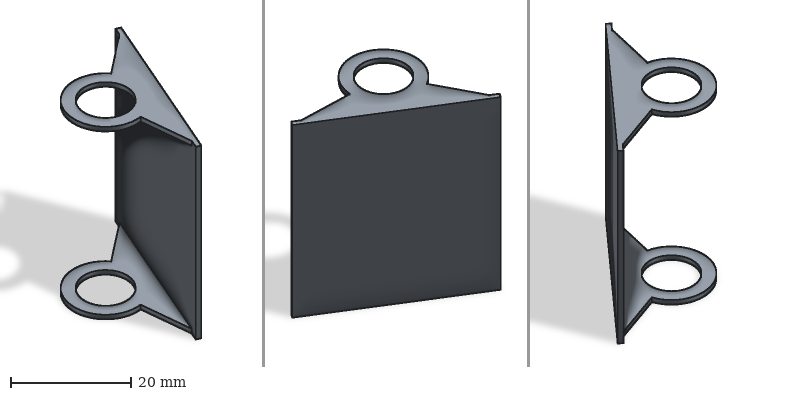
import cadquery as cq
import math

width = 35.6
height = 40.0
thickness = 1.0
hole_diameter = 10.0
ring_diameter = 15.0
ring_offset = 10.0
gusset_angle = 29.5

gusset_depth = width / 2 * math.tan(math.radians(gusset_angle))


def make_lug(bottom):
    """Horizontal lug: a triangular gusset carrying a ring."""
    plane = cq.Workplane("XY").workplane(offset=bottom)
    gusset = (
        plane.moveTo(-width / 2, 0)
        .lineTo(width / 2, 0)
        .lineTo(0, -gusset_depth)
        .close()
        .extrude(thickness)
    )
    disc = plane.center(0, -ring_offset).circle(ring_diameter / 2).extrude(thickness)
    hole = plane.center(0, -ring_offset).circle(hole_diameter / 2).extrude(thickness)
    return gusset.union(disc).cut(hole)


result = cq.Workplane("XY").box(width, thickness, height, centered=(True, False, False))
result = result.translate((0, -thickness, 0))

for lug_bottom in (0, height - thickness):
    result = result.union(make_lug(lug_bottom))